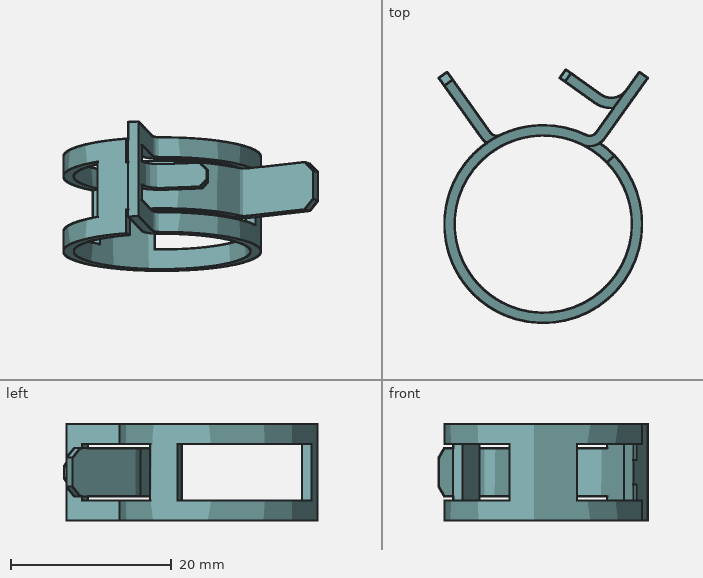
import math

import cadquery as cq


inner_radius = 11.0
thickness = 1.3
outer_radius = inner_radius + thickness
band_height = 12.0
slot_height = 7.0
tongue_height = 6.0
end_angle = 44.0

window_low_angle = -70.0
window_high_angle = 24.5

clamp_width = 26.0
leg_angle = 54.5
bend_radius = 1.0
bend_angle = 64.3
leg_end_bar = 2.4
tab_chamfer = 1.2

cutter_size = 2 * clamp_width

hook_width = 3.0
hook_bend_radius = 2.3
hook_bend_start = 2.76
hook_reach = 8.92
hook_chamfer = 0.8


def polar(radius, degrees, centre=(0.0, 0.0)):
    """Point at a radius and angle around a centre in the XY plane."""
    angle = math.radians(degrees)
    return (centre[0] + radius * math.cos(angle), centre[1] + radius * math.sin(angle))


bend_centre = polar(outer_radius + bend_radius, bend_angle)
bend_outer_radius = bend_radius + thickness
leg_normal_angle = leg_angle - 90
leg_root_outer = polar(bend_outer_radius, leg_normal_angle, bend_centre)
leg_root_inner = polar(bend_radius, leg_normal_angle, bend_centre)
leg_length = (clamp_width / 2 - leg_root_outer[0]) / math.cos(math.radians(leg_angle))
leg_tip_outer = polar(leg_length, leg_angle, leg_root_outer)
leg_tip_inner = polar(leg_length, leg_angle, leg_root_inner)


def ring_sector(start, end, height):
    """Part of the ring between two angles, centred on the XY plane."""
    middle = (start + end) / 2
    return (
        cq.Workplane("XY")
        .moveTo(*polar(inner_radius, start))
        .threePointArc(polar(inner_radius, middle), polar(inner_radius, end))
        .lineTo(*polar(outer_radius, end))
        .threePointArc(polar(outer_radius, middle), polar(outer_radius, start))
        .close()
        .extrude(height / 2, both=True)
    )


def bent_strip(start, height):
    """Strip following the ring clockwise from the start angle, then bent out along the +X leg."""
    middle = (start + bend_angle) / 2
    bend_middle = (bend_angle + 180 + leg_normal_angle + 360) / 2
    return (
        cq.Workplane("XY")
        .moveTo(*polar(inner_radius, start))
        .threePointArc(polar(inner_radius, middle), polar(inner_radius, bend_angle))
        .threePointArc(polar(bend_outer_radius, bend_middle, bend_centre), leg_root_outer)
        .lineTo(*leg_tip_outer)
        .lineTo(*leg_tip_inner)
        .lineTo(*leg_root_inner)
        .threePointArc(polar(bend_radius, bend_middle, bend_centre), polar(outer_radius, bend_angle))
        .threePointArc(polar(outer_radius, middle), polar(outer_radius, start))
        .close()
        .extrude(height / 2, both=True)
    )


def on_leg(shape):
    """Move a shape from leg axes (origin at the outer tip, X along the leg) to the part."""
    return shape.rotate((0, 0, 0), (0, 0, 1), leg_angle).translate((*leg_tip_outer, 0))


def grip_wedge(height):
    """Wedge over the open top of the ring, enclosing both bent ends."""
    return (
        cq.Workplane("XY")
        .polyline([(0, 0), polar(cutter_size, end_angle), polar(cutter_size, 180 - end_angle)])
        .close()
        .extrude(height / 2, both=True)
    )


def cut_windows(band):
    """Cut one window through each side of the ring."""
    window = ring_sector(window_low_angle, window_high_angle, slot_height)
    return band.cut(window).cut(window.mirror("YZ"))


def make_fork():
    """Ring from 0 degrees around the bottom to the slotted leg on the +X side."""
    tip_bar = cq.Workplane("XY").box(cutter_size, cutter_size, band_height)
    tip_bar = on_leg(tip_bar.translate((cutter_size / 2 - leg_end_bar, 0, 0)))
    slot = grip_wedge(slot_height).cut(tip_bar)
    return cut_windows(bent_strip(360, band_height)).cut(slot)


def make_tongue():
    """Rest of the ring, narrowed at the top and ending in the tab on the -X side."""
    leg_direction = cq.Vector(*polar(1, leg_angle), 0)
    leg_normal = cq.Vector(*polar(1, leg_normal_angle), 0)
    side_trim = grip_wedge(band_height).cut(grip_wedge(tongue_height))
    tongue = (
        bent_strip(180, band_height)
        .cut(side_trim)
        .faces(cq.selectors.DirectionMinMaxSelector(leg_direction))
        .edges(cq.selectors.ParallelDirSelector(leg_normal))
        .chamfer(tab_chamfer)
        .mirror("YZ")
    )
    return cut_windows(tongue)


def make_hook():
    """Strip leaving the slot end along the leg and turned square to it."""
    hook_outer_radius = hook_bend_radius + thickness
    centre = (-hook_bend_start, hook_outer_radius)
    hook = (
        cq.Workplane("XY")
        .moveTo(-leg_end_bar, 0)
        .lineTo(-hook_bend_start, 0)
        .threePointArc(polar(hook_outer_radius, 225, centre), polar(hook_outer_radius, 180, centre))
        .lineTo(centre[0] - hook_outer_radius, hook_reach)
        .lineTo(centre[0] - hook_bend_radius, hook_reach)
        .lineTo(*polar(hook_bend_radius, 180, centre))
        .threePointArc(polar(hook_bend_radius, 225, centre), polar(hook_bend_radius, 270, centre))
        .lineTo(-leg_end_bar, thickness)
        .close()
        .extrude(hook_width / 2, both=True)
        .faces(">Y")
        .edges("|X")
        .chamfer(hook_chamfer)
    )
    return on_leg(hook)


result = make_fork().union(make_hook()).union(make_tongue(), clean=False)